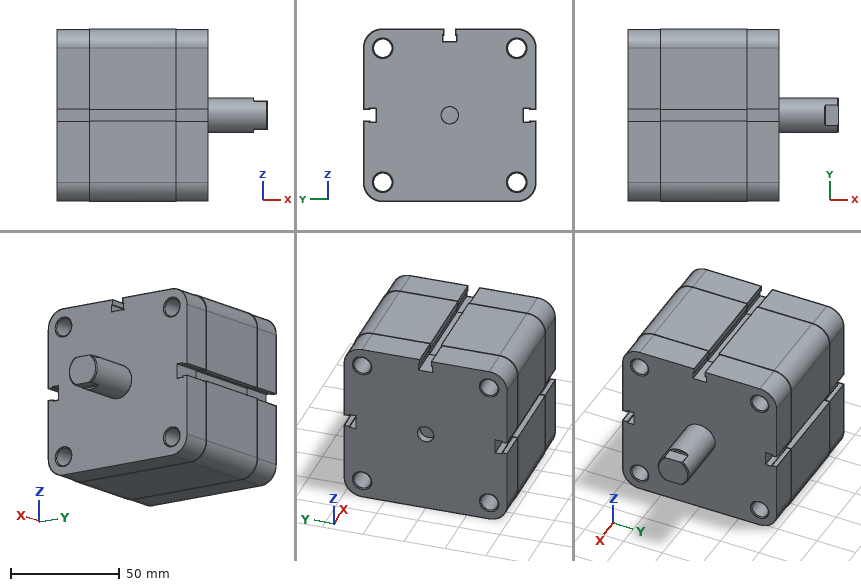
import cadquery as cq

cap_length = 15.0
barrel_length = 40.0
barrel_width = 80.0
cap_step = 0.25
cap_width = barrel_width - 2 * cap_step

bolt_offset = 31.0
bolt_hole_diameter = 8.5
bolt_hole_chamfer = 0.5

slot_depth = 6.0
slot_lip = 3.0
slot_overcut = 1.0
slot_mouth_width = 5.2
slot_undercut_width = 6.4
slot_angles = (0, 90, 180)

centre_hole_diameter = 8.0
centre_hole_depth = 4.0

rod_diameter = 16.0
rod_projection = 27.5
rod_chamfer = 0.5
flat_length = 6.5
flat_spacing = 13.0
flat_root_chamfer = 0.5

barrel_start = cap_length
front_cap_start = barrel_start + barrel_length
front_face = front_cap_start + cap_length
rod_tip = front_face + rod_projection


def square_block(start, length, width):
    """Square block along X, its corners rounded about the bolt hole axes."""
    corner_radius = width / 2 - bolt_offset
    return (
        cq.Workplane("YZ", origin=(start, 0, 0))
        .rect(width, width)
        .extrude(length)
        .edges("|X")
        .fillet(corner_radius)
    )


def cut_bolt_holes(body, start, length):
    """Drill the four bolt holes right through a body."""
    holes = (
        cq.Workplane("YZ", origin=(start, 0, 0))
        .rect(2 * bolt_offset, 2 * bolt_offset, forConstruction=True)
        .vertices()
        .circle(bolt_hole_diameter / 2)
        .extrude(length)
    )
    return body.cut(holes)


def slot_box(start, length, bottom, top, width):
    """Box along X on the +Y side, reaching from Y = bottom to Y = top."""
    return (
        cq.Workplane("YZ", origin=(start, 0, 0))
        .center((bottom + top) / 2, 0)
        .rect(top - bottom, width)
        .extrude(length)
    )


def cut_sensor_slots(body, start, length, clearance):
    """Cut the T-shaped slots, their lips set back by the clearance."""
    floor = barrel_width / 2 - slot_depth
    ledge = barrel_width / 2 - slot_lip + clearance
    outside = barrel_width / 2 + slot_overcut
    mouth = slot_box(start, length, floor, outside, slot_mouth_width + 2 * clearance)
    undercut = slot_box(start, length, floor, ledge, slot_undercut_width + 2 * clearance)
    cutter = mouth.union(undercut)
    for angle in slot_angles:
        body = body.cut(cutter.rotate((0, 0, 0), (1, 0, 0), angle))
    return body


def make_cap(start, outer_face):
    """End cap with slots and with bolt holes chamfered on its outer face."""
    cap = square_block(start, cap_length, cap_width)
    cap = cut_bolt_holes(cap, start, cap_length)
    bolt_hole_rims = cq.selectors.RadiusNthSelector(0)
    cap = cap.faces(outer_face).edges(bolt_hole_rims).chamfer(bolt_hole_chamfer)
    return cut_sensor_slots(cap, start, cap_length, cap_step)


def make_rear_cap():
    """Rear cap, with a blind locating hole in the middle of its outer face."""
    centre_hole = cq.Workplane("YZ").circle(centre_hole_diameter / 2).extrude(centre_hole_depth)
    return make_cap(0, "<X").cut(centre_hole)


def make_front_cap():
    """Front cap, the face the rod projects from."""
    return make_cap(front_cap_start, ">X")


def make_barrel():
    """Barrel between the caps, standing slightly proud of them."""
    barrel = square_block(barrel_start, barrel_length, barrel_width)
    barrel = cut_bolt_holes(barrel, barrel_start, barrel_length)
    return cut_sensor_slots(barrel, barrel_start, barrel_length, 0)


def make_rod():
    """Piston rod on the front face, with two wrench flats facing +Z and -Z."""
    rod = (
        cq.Workplane("YZ", origin=(front_face, 0, 0))
        .circle(rod_diameter / 2)
        .extrude(rod_projection)
        .faces(">X")
        .chamfer(rod_chamfer)
    )
    flat_cutter = (
        cq.Workplane("XY")
        .box(2 * flat_length, rod_diameter, rod_diameter, centered=(True, True, False))
        .edges("<X and <Z")
        .chamfer(flat_root_chamfer)
        .translate((rod_tip, 0, flat_spacing / 2))
    )
    return rod.cut(flat_cutter).cut(flat_cutter.mirror("XY"))


rear_cap = make_rear_cap()
barrel = make_barrel()
front_cap = make_front_cap()
rod = make_rod()

result = cq.Compound.makeCompound([rear_cap.val(), barrel.val(), front_cap.val(), rod.val()])